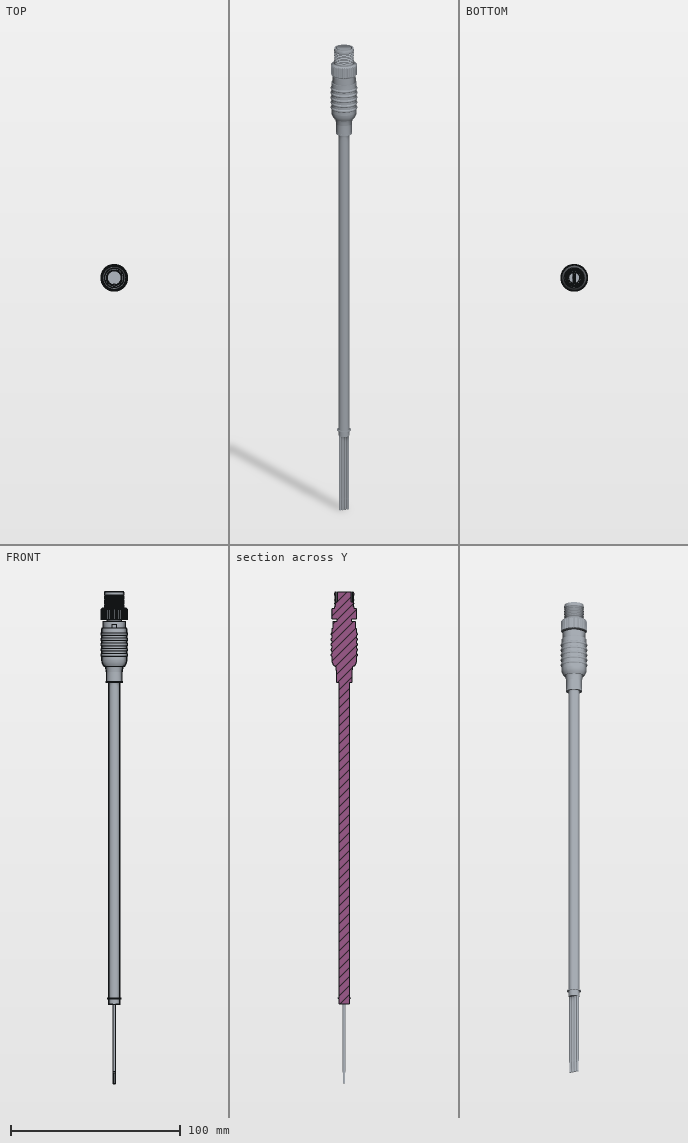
import cadquery as cq

overall_length = 289.87
top_z = overall_length / 2
bottom_z = -overall_length / 2

plug_radius = 5.8
plug_height = 9.6
plug_chamfer_height = 1.0
plug_chamfer_width = 0.25
thread_pitch = 1.0
thread_depth = 0.5
thread_start = 2.4
thread_grooves = 7
socket_radius = 4.7
insert_radius = 4.1
socket_depth = 6.0
key_radius = 0.6

nut_radius = 7.7
nut_height = 6.7
nut_chamfer = 0.9
knurl_count = 36
knurl_radius = 0.4

neck_radius = 4.3
neck_height = 1.2
collar_radius = 6.7
collar_height = 3.9
mark_width = 2.6
mark_height = 2.2
mark_relief = 0.3

rib_diameter = 15.77
rib_radius = rib_diameter / 2
grip_radius = 7.45
grip_height = 18.6
rim_radius = 7.35
rim_height = 2.3
rib_count = 5
rib_pitch = 3.06
rib_width = 1.6
first_rib_depth = 3.6
shoulder_height = 4.0
shoulder_end_radius = 5.9

relief_top_radius = 5.2
relief_radius = 4.65
relief_cone_height = 3.4
relief_height = 6.2
relief_lip_radius = 4.85
relief_lip_height = 0.7

cable_radius = 3.35
cable_end_radius = 3.25
cable_end_length = 3.5
cable_end_depth = 243.0
ring_radius = 4.1
ring_height = 0.5

wire_count = 4
wire_pitch = 1.6
wire_radius = 0.75
tip_length = 7.4
tip_collar_radius = 0.79
tip_collar_height = 0.9
tip_radius = 0.72
tip_chamfer = 0.3

nut_top = top_z - plug_height
nut_bottom = nut_top - nut_height
collar_top = nut_bottom - neck_height
grip_top = collar_top - collar_height
shoulder_top = grip_top - grip_height
relief_top = shoulder_top - shoulder_height
relief_cone_end = relief_top - relief_cone_height
relief_bottom = relief_cone_end - relief_height
cable_bottom = top_z - cable_end_depth
cable_step = cable_bottom + cable_end_length
tip_top = bottom_z + tip_length


def cylinder(radius, low, high):
    """Solid cylinder on the Z axis between two heights."""
    return cq.Workplane("XY").workplane(offset=low).circle(radius).extrude(high - low)


def revolve_around_z(outline):
    """Full turn of an XZ outline."""
    return outline.close().revolve(360, (0, 0, 0), (0, 1, 0))


def make_plug():
    """Threaded shell around a keyed insert, running down through the nut."""
    plug = cylinder(plug_radius, nut_bottom, top_z)
    plug = plug.faces(">Z").edges().chamfer(plug_chamfer_height, plug_chamfer_width)
    for index in range(thread_grooves):
        groove_z = top_z - thread_start - index * thread_pitch
        groove = (
            cq.Workplane("XZ")
            .moveTo(plug_radius, groove_z + thread_pitch / 2)
            .lineTo(plug_radius - thread_depth, groove_z)
            .lineTo(plug_radius, groove_z - thread_pitch / 2)
        )
        plug = plug.cut(revolve_around_z(groove))
    socket = cylinder(socket_radius, top_z - socket_depth, top_z)
    insert = cylinder(insert_radius, top_z - socket_depth, top_z)
    key = cylinder(key_radius, top_z - socket_depth, top_z).translate((0, -insert_radius, 0))
    return plug.cut(socket).union(insert.cut(key))


def make_nut():
    """Nut with round axial knurl grooves."""
    nut = cylinder(nut_radius, nut_bottom, nut_top).faces(">Z").chamfer(nut_chamfer)
    knurls = (
        cq.Workplane("XY")
        .workplane(offset=nut_bottom)
        .polarArray(nut_radius, 0, 360, knurl_count)
        .circle(knurl_radius)
        .extrude(nut_height)
    )
    return nut.cut(knurls)


def make_collar():
    """Neck, collar and the raised position mark at -Y."""
    neck = cylinder(neck_radius, collar_top, nut_bottom)
    collar = cylinder(collar_radius, grip_top, collar_top)
    mark = (
        cq.Workplane("XY")
        .box(mark_width, collar_radius + mark_relief, mark_height, centered=(True, False, True))
        .translate((0, -collar_radius - mark_relief, grip_top + mark_height / 2))
    )
    return neck.union(collar).union(mark)


def make_grip():
    """Barrel with rounded ribs, a rounded shoulder and the strain relief."""
    outline = (
        cq.Workplane("XZ")
        .moveTo(0, grip_top)
        .lineTo(rim_radius, grip_top)
        .lineTo(grip_radius, grip_top - rim_height)
    )
    for index in range(rib_count):
        rib_z = grip_top - first_rib_depth - index * rib_pitch
        outline = (
            outline.lineTo(grip_radius, rib_z + rib_width / 2)
            .threePointArc((rib_radius, rib_z), (grip_radius, rib_z - rib_width / 2))
        )
    outline = (
        outline.lineTo(grip_radius, shoulder_top)
        .tangentArcPoint((shoulder_end_radius, relief_top), relative=False)
        .lineTo(relief_top_radius, relief_top)
        .lineTo(relief_radius, relief_cone_end)
        .lineTo(relief_radius, relief_bottom + relief_lip_height)
        .lineTo(relief_lip_radius, relief_bottom + relief_lip_height)
        .lineTo(relief_lip_radius, relief_bottom)
        .lineTo(0, relief_bottom)
    )
    return revolve_around_z(outline)


def make_cable():
    """Cable jacket, the ring near its lower end and the slightly thinner cut end."""
    cable = cylinder(cable_radius, cable_step, relief_bottom)
    cable_end = cylinder(cable_end_radius, cable_bottom, cable_step)
    ring = cylinder(ring_radius, cable_step - ring_height / 2, cable_step + ring_height / 2)
    return cable.union(cable_end).union(ring)


def make_wire(y):
    """One wire with a collared, chamfered tip."""
    wire = cylinder(wire_radius, tip_top, cable_bottom)
    tip = cylinder(tip_radius, bottom_z, tip_top).faces("<Z").chamfer(tip_chamfer)
    collar = cylinder(tip_collar_radius, tip_top - tip_collar_height, tip_top)
    return wire.union(collar).union(tip).translate((0, y, 0))


result = make_plug().union(make_nut()).union(make_collar()).union(make_grip()).union(make_cable())
for index in range(wire_count):
    result = result.union(make_wire((index - (wire_count - 1) / 2) * wire_pitch))